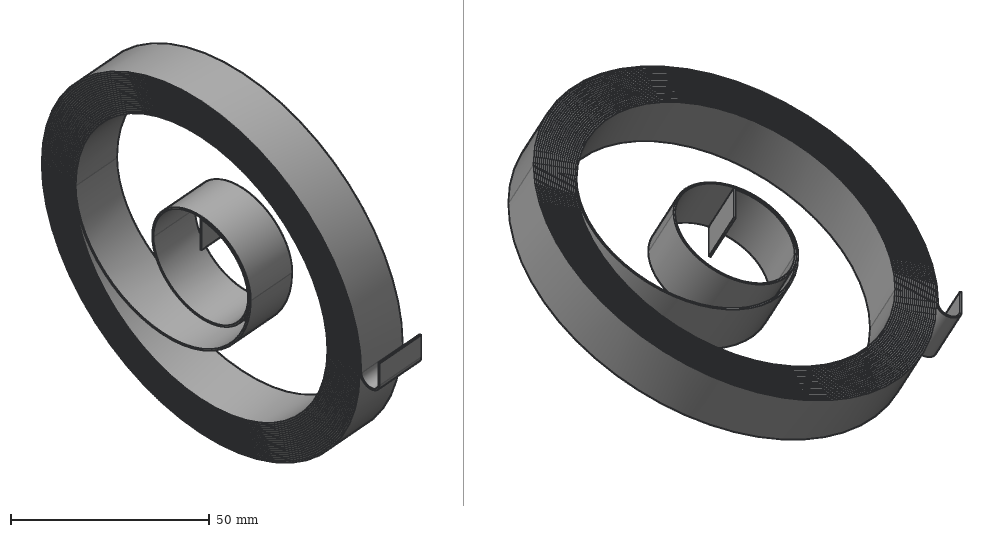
import cadquery as cq

total_length = 119.5
coil_height = 112.7
strip_width = 15.0
strip_thickness = 0.54
turn_gap = 0.01
turn_count = 22

eye_radius = 17.5
tongue_end = 6.0
hook_end = 7.3

half_thickness = strip_thickness / 2
pitch = strip_thickness + turn_gap
coil_radius = (coil_height + pitch / 2) / 2

eye_outer_lap = eye_radius - half_thickness
eye_inner_lap = eye_outer_lap - pitch
outermost_turn = coil_radius - half_thickness
innermost_turn = outermost_turn - (turn_count - 1) * pitch


def axis_crossings():
    """X of the centre line wherever it crosses the X axis, going down and up in turn."""
    crossings = [eye_inner_lap, -eye_outer_lap, eye_outer_lap]
    for turn in range(turn_count):
        radius = innermost_turn + turn * pitch
        crossings += [-radius, radius]
    hook_x = total_length - coil_radius - half_thickness
    crossings.append(hook_x)
    return crossings


def strip_edge(side):
    """X where one edge of the strip crosses the X axis; side is +1 for left of travel, -1 for right."""
    edge = []
    travel_down = 1
    for x in axis_crossings():
        edge.append(x + side * travel_down * half_thickness)
        travel_down = -travel_down
    return edge


def half_circle(outline, start_x, end_x, below):
    """Continue the outline along a half circle between two points of the X axis."""
    radius = abs(end_x - start_x) / 2
    apex_z = -radius if below else radius
    return outline.threePointArc(((start_x + end_x) / 2, apex_z), (end_x, 0))


def quarter_middle(radius):
    """Middle of the quarter circle in the +X +Z quadrant."""
    diagonal = radius * 0.5 ** 0.5
    return (diagonal, diagonal)


def spring_outline():
    left = strip_edge(1)
    right = strip_edge(-1)
    last = len(left) - 1

    outline = (
        cq.Workplane("XZ")
        .moveTo(0, tongue_end)
        .lineTo(-strip_thickness, tongue_end)
        .lineTo(-strip_thickness, left[0])
        .lineTo(0, left[0])
        .threePointArc(quarter_middle(left[0]), (left[0], 0))
    )
    for i in range(last):
        outline = half_circle(outline, left[i], left[i + 1], below=i % 2 == 0)
    outline = outline.lineTo(left[last], hook_end).lineTo(right[last], hook_end).lineTo(right[last], 0)
    for i in reversed(range(last)):
        outline = half_circle(outline, right[i + 1], right[i], below=i % 2 == 0)
    return outline.threePointArc(quarter_middle(right[0]), (0, right[0])).close()


result = spring_outline().extrude(strip_width / 2, both=True)